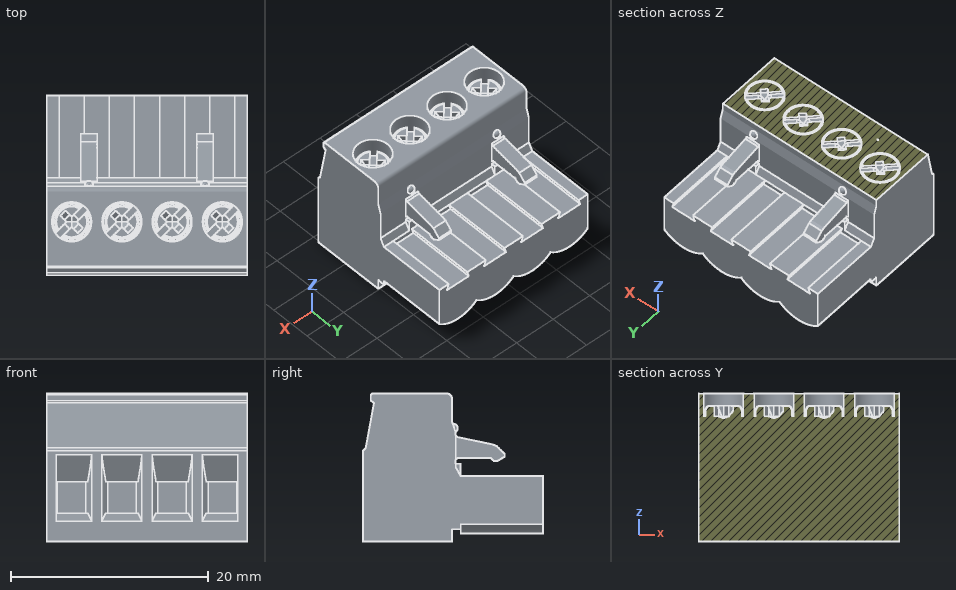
import cadquery as cq
import math


length = 20.32
depth = 18.2
height = 15.0
pole_count = 4
pole_pitch = length / pole_count

ledge_z = 9.2
ledge_top_z = 9.47
ledge_y = 0.26
lip_front_y = 0.77
lip_z = 14.26
lip_undercut_y = 1.1
lip_undercut_z = 14.02
lip_chamfer = 0.16
rear_y = 9.02
rear_radius = 0.59
waist_y = 9.37
waist_top_z = 11.05
waist_ramp_top_z = 12.13
waist_bottom_z = 7.52
foot_z = 1.24

plug_y = 9.88
plug_bottom_z = 0.81
plug_top_z = 6.65
plug_groove_width = pole_pitch / 2
plug_groove_depth = 0.71
plug_groove_undercut = 0.22
barrel_edge_z = 1.75

entry_bottom_z = 2.05
entry_top_z = 8.78
entry_throat_bottom_z = 2.89
entry_throat_top_z = 6.05
entry_half_widths = (2.03, 1.87, 1.63, 1.45)
entry_depths = (0.0, 0.65, 1.42, 1.95)
entry_end_wall = 1.0

screw_y = 5.43
screw_hole_radius = 2.01
screw_hole_floor_z = 12.68
screw_head_radius = 1.89
screw_rim_z = 13.29
screw_shoulder_radius = 1.7
screw_shoulder_z = 13.65
screw_face_radius = 1.55
screw_head_top_z = 13.72
slot_width = 0.73
slot_angle = 45.0
cross_top_reach = 1.24
cross_floor_reach = 0.65
cross_tip_depth = 0.37

latch_width = 1.67
latch_offset = 5.87
latch_tip_y = 14.35
latch_tip_top_z = 8.85
latch_tip_bottom_z = 8.6
latch_crest_y = 13.51
latch_crest_z = 9.67
latch_back_y = 13.13
latch_back_z = 9.83
latch_barb_outer_y = 13.6
latch_barb_inner_y = 13.25
latch_barb_z = 8.13
latch_catch_y = 12.92
latch_under_z = 8.43
latch_root_z = 10.59
latch_root_flare = 0.18
rest_top_z = 7.88
bead_radius = 0.45
bead_y = 9.15
bead_z = 11.48

pole_centers = [pole_pitch * (pole + 0.5) for pole in range(pole_count)]
latch_centers = [length / 2 - latch_offset, length / 2 + latch_offset]


def box(x_min, x_max, y_min, y_max, z_min, z_max):
    size = (x_max - x_min, y_max - y_min, z_max - z_min)
    return cq.Workplane().box(*size, centered=False).translate((x_min, y_min, z_min))


def quarter_turn(shape):
    return shape.rotate((0, 0, 0), (0, 0, 1), 90)


def extrude_side_outline(points, x_start, width):
    """Extrude a closed (y, z) outline along +X."""
    return cq.Workplane("YZ", origin=(x_start, 0, 0)).polyline(points).close().extrude(width)


def make_housing():
    """Main block as one side outline extruded over the full length."""
    arc_mid_y = rear_y - rear_radius * (1 - math.sqrt(0.5))
    arc_mid_z = height - rear_radius * (1 - math.sqrt(0.5))
    return (
        cq.Workplane("YZ")
        .moveTo(0, 0)
        .lineTo(0, ledge_z)
        .lineTo(ledge_y, ledge_top_z)
        .lineTo(lip_undercut_y, lip_undercut_z)
        .lineTo(lip_front_y, lip_z)
        .lineTo(lip_front_y, height - lip_chamfer)
        .lineTo(lip_front_y + lip_chamfer, height)
        .lineTo(rear_y - rear_radius, height)
        .threePointArc((arc_mid_y, arc_mid_z), (rear_y, height - rear_radius))
        .lineTo(rear_y, waist_ramp_top_z)
        .lineTo(waist_y, waist_top_z)
        .lineTo(waist_y, waist_bottom_z)
        .lineTo(plug_y, plug_top_z)
        .lineTo(plug_y, foot_z)
        .lineTo(rear_y, foot_z)
        .lineTo(rear_y, 0)
        .close()
        .extrude(length)
    )


def make_plug():
    """Plug body with a rounded underside and a dovetail groove for every pole."""
    outline = cq.Workplane("XZ", origin=(0, depth, 0)).moveTo(0, plug_top_z).lineTo(0, barrel_edge_z)
    for x in pole_centers:
        outline = outline.threePointArc((x, plug_bottom_z), (x + pole_pitch / 2, barrel_edge_z))
    plug = outline.lineTo(length, plug_top_z).close().extrude(depth - plug_y)

    mouth_half = plug_groove_width / 2
    floor_half = mouth_half + plug_groove_undercut
    floor_z = plug_top_z - plug_groove_depth
    for x in pole_centers:
        groove_outline = [
            (x - mouth_half, plug_top_z),
            (x - floor_half, floor_z),
            (x + floor_half, floor_z),
            (x + mouth_half, plug_top_z),
        ]
        groove = (
            cq.Workplane("XZ", origin=(0, depth, 0))
            .polyline(groove_outline)
            .close()
            .extrude(depth - plug_y)
        )
        plug = plug.cut(groove)
    return plug


def make_wire_entry(x):
    """Funnel with tapered sides, sloping roof and sloping floor."""
    funnel_depth = entry_depths[-2]
    end_depth = entry_depths[-1]
    side_outline = [
        (0, entry_bottom_z),
        (funnel_depth, entry_throat_bottom_z),
        (end_depth, entry_throat_bottom_z),
        (end_depth, entry_throat_top_z),
        (funnel_depth, entry_throat_top_z),
        (0, entry_top_z),
    ]
    right_side = [(x + half, y) for half, y in zip(entry_half_widths, entry_depths)]
    left_side = [(x - half, y) for half, y in zip(entry_half_widths, entry_depths)]
    plan = (
        cq.Workplane("XY")
        .polyline(right_side + left_side[::-1])
        .close()
        .extrude(height)
    )
    left_limit = max(x - pole_pitch / 2, entry_end_wall)
    right_limit = min(x + pole_pitch / 2, length - entry_end_wall)
    slab = extrude_side_outline(side_outline, left_limit, right_limit - left_limit)
    return slab.intersect(plan)


def make_cross_recess():
    """Cross-shaped driver recess with pyramid-shaped ends and tip."""
    tip_z = screw_hole_floor_z - cross_tip_depth
    wedge_outline = [
        (-cross_top_reach, screw_head_top_z),
        (-cross_floor_reach, screw_hole_floor_z),
        (0, tip_z),
        (cross_floor_reach, screw_hole_floor_z),
        (cross_top_reach, screw_head_top_z),
    ]
    wedge = (
        cq.Workplane("XZ")
        .polyline(wedge_outline)
        .close()
        .extrude(cross_top_reach, both=True)
    )
    bar = box(
        -cross_top_reach, cross_top_reach,
        -slot_width / 2, slot_width / 2,
        tip_z, screw_head_top_z,
    )
    pyramid = wedge.intersect(quarter_turn(wedge))
    return pyramid.intersect(bar.union(quarter_turn(bar)))


def make_screw_cavity():
    """Everything removed around and inside one screw head, on the Z axis."""
    hole = (
        cq.Workplane("XY", origin=(0, 0, screw_hole_floor_z))
        .circle(screw_hole_radius)
        .extrude(height - screw_hole_floor_z)
    )
    head_outline = [
        (0, screw_hole_floor_z),
        (screw_head_radius, screw_hole_floor_z),
        (screw_head_radius, screw_rim_z),
        (screw_shoulder_radius, screw_shoulder_z),
        (screw_face_radius, screw_head_top_z),
        (0, screw_head_top_z),
    ]
    head = cq.Workplane("XZ").polyline(head_outline).close().revolve(360, (0, 0), (0, 1))
    slot = box(
        -screw_hole_radius, screw_hole_radius,
        -slot_width / 2, slot_width / 2,
        screw_hole_floor_z, screw_head_top_z,
    )
    cavity = hole.cut(head.cut(slot)).union(make_cross_recess())
    return cavity.rotate((0, 0, 0), (0, 0, 1), slot_angle)


def make_latch(x):
    """Hooked arm with its rest block and the bead above its root."""
    root_y = waist_y + latch_root_flare
    arm_outline = [
        (rear_y, latch_root_z + latch_root_flare),
        (waist_y, latch_root_z + latch_root_flare),
        (root_y, latch_root_z),
        (latch_back_y, latch_back_z),
        (latch_crest_y, latch_crest_z),
        (latch_tip_y, latch_tip_top_z),
        (latch_tip_y, latch_tip_bottom_z),
        (latch_barb_outer_y, latch_barb_z),
        (latch_barb_inner_y, latch_barb_z),
        (latch_catch_y, latch_under_z),
        (root_y, latch_under_z),
        (waist_y, latch_under_z - latch_root_flare),
        (rear_y, latch_under_z - latch_root_flare),
    ]
    left = x - latch_width / 2
    right = x + latch_width / 2
    arm = extrude_side_outline(arm_outline, left, latch_width)
    rest = box(left, right, rear_y, plug_y, plug_top_z, rest_top_z)
    bead = cq.Workplane().sphere(bead_radius).translate((x, bead_y, bead_z))
    return arm.union(rest).union(bead)


result = make_housing().union(make_plug())
for latch_x in latch_centers:
    result = result.union(make_latch(latch_x))

screw_cavity = make_screw_cavity()
for pole_x in pole_centers:
    result = result.cut(make_wire_entry(pole_x))
    result = result.cut(screw_cavity.translate((pole_x, screw_y, 0)))